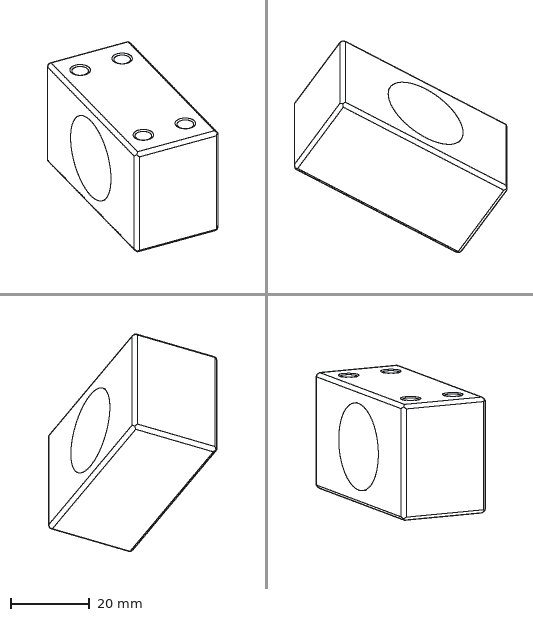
import cadquery as cq
import math

length = 50.0
width = 24.0
height = 30.0
edge_chamfer = 1.0

bore_diameter = 22.4

hole_diameter = 4.23
hole_depth = 10.0
hole_spacing_x = 35.0
hole_spacing_y = 12.0
drill_point_angle = 118.0
mouth_diameter = 5.2
mouth_angle = 120.0


def cone_height(radius_change, included_angle):
    """Axial height over which a cone changes its radius by the given amount."""
    return radius_change / math.tan(math.radians(included_angle / 2))


def make_block():
    """Rectangular block with every outer edge chamfered.

    Each axis gives a bar with only its lengthwise edges chamfered. Where the bars overlap,
    the three chamfers at a corner meet in a single point.
    """
    block = cq.Workplane("XY").box(length, width, height)
    chamfered = block
    for lengthwise_edges in ("|X", "|Y", "|Z"):
        bar = block.edges(lengthwise_edges).chamfer(edge_chamfer)
        chamfered = chamfered.intersect(bar)
    return chamfered


def make_bore():
    """Cylinder along Y that spans the full width of the block."""
    return cq.Workplane("XZ").circle(bore_diameter / 2).extrude(width / 2, both=True)


def make_hole_cutter():
    """Revolved shape of one hole, with its mouth at Z = 0 and its tip pointing down."""
    hole_radius = hole_diameter / 2
    mouth_radius = mouth_diameter / 2
    mouth_depth = cone_height(mouth_radius - hole_radius, mouth_angle)
    tip_depth = hole_depth + cone_height(hole_radius, drill_point_angle)
    profile = (
        cq.Workplane("XZ")
        .lineTo(mouth_radius, 0)
        .lineTo(hole_radius, -mouth_depth)
        .lineTo(hole_radius, -hole_depth)
        .lineTo(0, -tip_depth)
        .close()
    )
    return profile.revolve(360, (0, 0, 0), (0, 1, 0))


def cut_top_holes(body):
    """Cut the two-by-two pattern of holes into the top face."""
    cutter = make_hole_cutter()
    for x in (-hole_spacing_x / 2, hole_spacing_x / 2):
        for y in (-hole_spacing_y / 2, hole_spacing_y / 2):
            body = body.cut(cutter.translate((x, y, height / 2)))
    return body


result = cut_top_holes(make_block().cut(make_bore()))